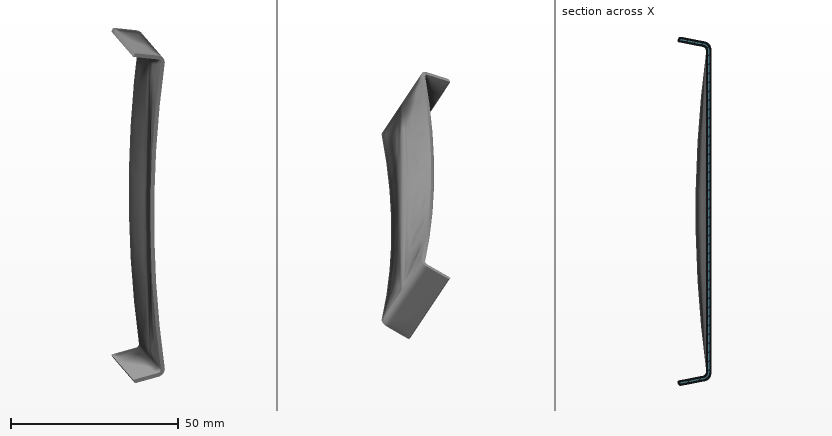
import cadquery as cq
import math

width = 25.03
depth = 9.8
height = 104.02

thickness = 1.2
inner_bend_radius = 1.2
outer_bend_radius = inner_bend_radius + thickness
flange_tilt = math.radians(11)
tip_setback = 0.6

side_bow = 3.3
crease_back_width = 0.95
crease_front_width = 0.4

half_width = width / 2
half_height = height / 2
tilt_cos = math.cos(flange_tilt)
tilt_sin = math.sin(flange_tilt)

tip_outer = (tip_setback - depth, half_height)
tip_inner_drop = thickness / tilt_cos - tip_setback * math.tan(flange_tilt)
tip_inner = (-depth, half_height - tip_inner_drop)

bend_center_y = -outer_bend_radius
outer_bend_end_y = bend_center_y + outer_bend_radius * tilt_sin
outer_bend_end_z = half_height - (outer_bend_end_y - tip_outer[0]) * math.tan(flange_tilt)
bend_center_z = outer_bend_end_z - outer_bend_radius * tilt_cos
web_half_height = bend_center_z


def bend_point(radius, angle):
    """Point (y, z) on the upper bend, with the angle measured from +Y toward +Z."""
    return (bend_center_y + radius * math.cos(angle), bend_center_z + radius * math.sin(angle))


def make_upper_flange():
    """Bend and inclined flange at the upper end, constant across the width."""
    end_angle = math.pi / 2 - flange_tilt
    return (
        cq.Workplane("YZ", origin=(-half_width, 0, 0))
        .moveTo(*bend_point(outer_bend_radius, 0))
        .threePointArc(bend_point(outer_bend_radius, end_angle / 2), bend_point(outer_bend_radius, end_angle))
        .lineTo(*tip_outer)
        .lineTo(*tip_inner)
        .lineTo(*bend_point(inner_bend_radius, end_angle))
        .threePointArc(bend_point(inner_bend_radius, end_angle / 2), bend_point(inner_bend_radius, 0))
        .close()
        .extrude(width)
    )


def make_crease():
    """Straight strip along the middle of the web, narrower at the front."""
    return (
        cq.Workplane("XY", origin=(0, 0, -web_half_height))
        .moveTo(-crease_back_width / 2, 0)
        .lineTo(crease_back_width / 2, 0)
        .lineTo(crease_front_width / 2, -thickness)
        .lineTo(-crease_front_width / 2, -thickness)
        .close()
        .extrude(2 * web_half_height)
    )


def upright_line(x, y):
    """Straight edge over the full height of the web."""
    return cq.Edge.makeLine(cq.Vector(x, y, -web_half_height), cq.Vector(x, y, web_half_height))


def bowed_edge(end_y, middle_x, middle_y):
    """Arc over the full height of the web, starting and ending at the half width."""
    return cq.Edge.makeThreePointArc(
        cq.Vector(half_width, end_y, -web_half_height),
        cq.Vector(middle_x, middle_y, 0),
        cq.Vector(half_width, end_y, web_half_height),
    )


def make_right_panel():
    """Twisted panel ruled from the straight crease out to the bowed long edge."""
    lean = math.atan2(side_bow, half_width - crease_back_width / 2)
    rails = [
        upright_line(crease_back_width / 2, 0),
        bowed_edge(0, half_width, -side_bow),
        bowed_edge(
            -thickness,
            half_width - thickness * math.sin(lean),
            -side_bow - thickness * math.cos(lean),
        ),
        upright_line(crease_front_width / 2, -thickness),
    ]
    next_rails = rails[1:] + rails[:1]
    faces = [cq.Face.makeRuledSurface(rail, other) for rail, other in zip(rails, next_rails)]
    for position in (0, 1):
        corners = [rail.positionAt(position) for rail in rails]
        faces.append(cq.Face.makeFromWires(cq.Wire.makePolygon(corners, close=True)))
    return cq.Workplane(obj=cq.Solid.makeSolid(cq.Shell.makeShell(faces)).fix())


upper_flange = make_upper_flange()
right_panel = make_right_panel()

result = (
    make_crease()
    .union(right_panel)
    .union(right_panel.mirror("YZ"))
    .union(upper_flange)
    .union(upper_flange.mirror("XY"))
)